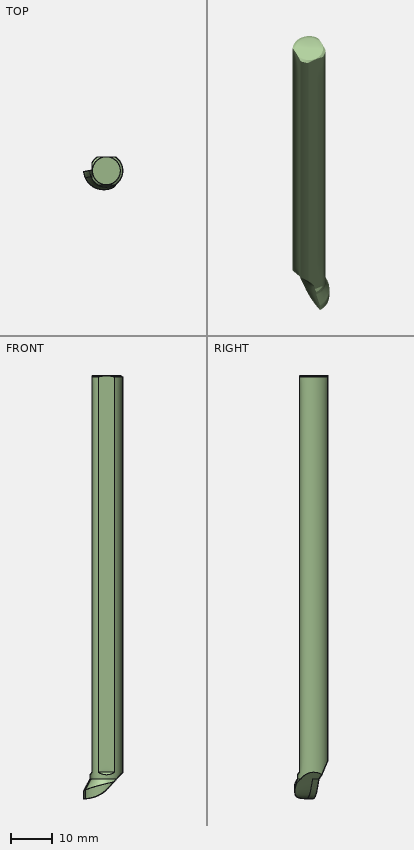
import cadquery as cq
import math

LENGTH = 102.7
SHANK_RADIUS = 4.0
FLAT_DISTANCE = 3.5
BACK_FLAT_DISTANCE = 3.4
FLAT_END_Z = 6.5
RUNOUT_HEIGHT = 0.6
END_CHAMFER_HEIGHT = 0.3
END_CHAMFER_WIDTH = 0.6

FLANK_RADIUS = 4.9
FLANK_CENTER = (-0.6, 0.3)
CONE_TOP_Z = 4.8
CONE_SLOPE = 0.52
BELLY_BEND = (0.0, 2.2)
BELLY_ARC_MIDDLE = (-2.2, 0.7)

TIP_X = -5.5
TIP_Y = -0.2
RAKE_ANGLE = 10.5
SCOOP_START_Z = 8.1
SCOOP_DROP = 0.4
SCOOP_ARC_MIDDLE = (0.9, 2.2)
SCOOP_ARC_END = (4.5, 6.4)

INSERT_THICKNESS = 1.5

OVERSIZE = 30.8


def runout_cut(distance, direction):
    """Flat cutter facing +X with a sloping end, turned about Z to a direction in degrees."""
    rise = RUNOUT_HEIGHT * (OVERSIZE - distance) / (SHANK_RADIUS - distance)
    outline = [
        (distance, FLAT_END_Z),
        (OVERSIZE, FLAT_END_Z - rise),
        (OVERSIZE, LENGTH + OVERSIZE),
        (distance, LENGTH + OVERSIZE),
    ]
    cutter = cq.Workplane("XZ").polyline(outline).close().extrude(OVERSIZE, both=True)
    return cutter.rotate((0, 0, 0), (0, 0, 1), direction)


def make_shank():
    end_radius = SHANK_RADIUS - END_CHAMFER_WIDTH
    outline = [
        (0, CONE_TOP_Z),
        (SHANK_RADIUS, CONE_TOP_Z),
        (SHANK_RADIUS, LENGTH - END_CHAMFER_HEIGHT),
        (end_radius, LENGTH),
        (0, LENGTH),
    ]
    shank = cq.Workplane("XZ").polyline(outline).close().revolve(360, (0, 0), (0, 1))
    for distance, direction in [
        (FLAT_DISTANCE, 180),
        (FLAT_DISTANCE, 270),
        (BACK_FLAT_DISTANCE, 90),
    ]:
        shank = shank.cut(runout_cut(distance, direction))
    return shank


def make_head():
    base_radius = SHANK_RADIUS + CONE_SLOPE * CONE_TOP_Z
    outline = [(0, 0), (base_radius, 0), (SHANK_RADIUS, CONE_TOP_Z), (0, CONE_TOP_Z)]
    cone = cq.Workplane("XZ").polyline(outline).close().revolve(360, (0, 0), (0, 1))
    flank = cq.Workplane("XY").center(*FLANK_CENTER).circle(FLANK_RADIUS).extrude(CONE_TOP_Z)
    return cone.intersect(flank)


def belly_cut():
    """Space under the head: an arc rising from the tip, then a straight slant to the shank."""
    return (
        cq.Workplane("XZ")
        .moveTo(TIP_X, 0)
        .threePointArc(BELLY_ARC_MIDDLE, BELLY_BEND)
        .lineTo(SHANK_RADIUS, FLAT_END_Z)
        .lineTo(OVERSIZE, FLAT_END_Z)
        .lineTo(OVERSIZE, -OVERSIZE)
        .lineTo(TIP_X, -OVERSIZE)
        .close()
        .extrude(OVERSIZE, both=True)
    )


def scoop_cut():
    """Chip space on the +Y side: the rake face, leading into a concave runout up the shank."""
    angle = math.radians(RAKE_ANGLE)
    scoop_plane = cq.Plane(
        origin=(TIP_X, TIP_Y, SCOOP_START_Z),
        xDir=(-math.sin(angle), math.cos(angle), 0),
        normal=(math.cos(angle), math.sin(angle), -SCOOP_DROP),
    )
    return (
        cq.Workplane(scoop_plane)
        .moveTo(0, -OVERSIZE)
        .lineTo(0, 0)
        .threePointArc(SCOOP_ARC_MIDDLE, SCOOP_ARC_END)
        .lineTo(OVERSIZE, SCOOP_ARC_END[1])
        .lineTo(OVERSIZE, -OVERSIZE)
        .close()
        .extrude(OVERSIZE, both=True)
    )


def insert_space():
    """Slab behind the rake face that separates the insert from the holder."""
    return (
        cq.Workplane("XY")
        .box(2 * OVERSIZE, INSERT_THICKNESS, CONE_TOP_Z, centered=(True, False, False))
        .translate((0, -INSERT_THICKNESS, 0))
        .rotate((0, 0, 0), (0, 0, 1), RAKE_ANGLE)
        .translate((TIP_X, TIP_Y, 0))
    )


def make_bar():
    return make_shank().union(make_head()).cut(belly_cut()).cut(scoop_cut())


bar = make_bar()
holder = bar.cut(insert_space())
insert = bar.intersect(insert_space())

result = cq.Compound.makeCompound([holder.val(), insert.val()])